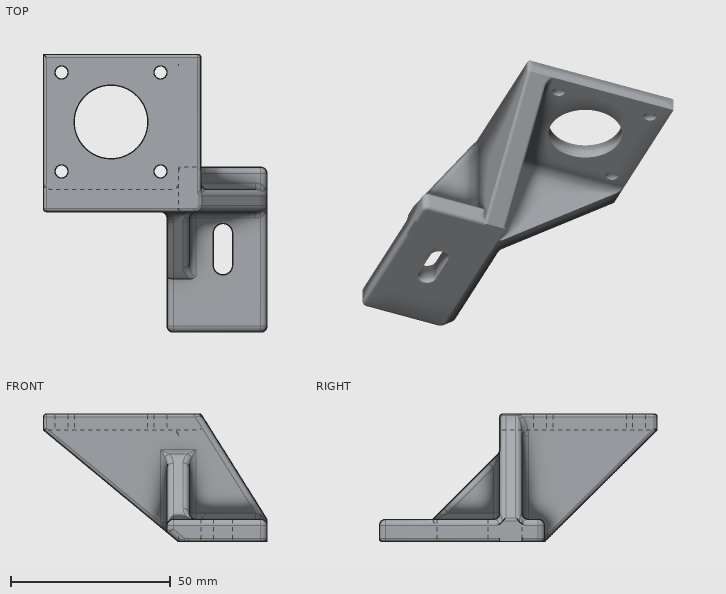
import cadquery as cq

motor_width = 42.3
wall = 7.0
plate_width = motor_width + wall
plate_thickness = 5.0
pilot_diameter = 23.0
screw_diameter = 4.0
screw_pitch = 31.0

length = 70.0
depth = 87.0
height = 40.0

wall_front = depth - plate_width
wall_back = wall_front + wall
plate_underside = height - plate_thickness
motor_x = motor_width / 2
motor_y = depth - motor_width / 2

foot_left = 38.7
foot_thickness = 7.0
foot_back = wall_back + wall
slot_x = 56.2
slot_y = 26.0
slot_length = 16.0
slot_width = 6.0

rib_width = 7.0
rib_right = foot_left + rib_width
rib_rise = 21.0
rib_toe = wall_front - rib_rise
rib_top = foot_thickness + rib_rise

foot_left_bottom = plate_underside * (1 - foot_left / motor_width)

small_radius = 1.0
large_radius = 2.0

overshoot = 1.0


def box(x_range, y_range, z_range):
    """Block between the given limits on each axis."""
    sizes = [limits[1] - limits[0] for limits in (x_range, y_range, z_range)]
    corner = (x_range[0], y_range[0], z_range[0])
    return cq.Workplane("XY").box(*sizes, centered=False).translate(corner)


def front_profile(points, y_front, y_back):
    """Outline in X and Z, extruded from y_front to y_back."""
    outline = cq.Workplane("XZ", origin=(0, y_front, 0)).polyline(points).close()
    return outline.extrude(y_front - y_back)


def side_profile(points, x_left, x_right):
    """Outline in Y and Z, extruded from x_left to x_right."""
    outline = cq.Workplane("YZ", origin=(x_left, 0, 0)).polyline(points).close()
    return outline.extrude(x_right - x_left)


def fillet_edges(body, edge_ends, radius):
    """Round the edges that lie closest to the listed pairs of end points."""
    edges = body.edges().vals()
    chosen = []
    for start, end in edge_ends:
        middle = (cq.Vector(*start) + cq.Vector(*end)) * 0.5
        chosen.append(min(edges, key=lambda edge: (edge.Center() - middle).Length))
    return body.newObject(chosen).fillet(radius)


def under_slope():
    """Wedge of empty space below the sloping underside."""
    return front_profile(
        [(0, 0), (motor_width, 0), (0, plate_underside)],
        -overshoot,
        depth + overshoot,
    )


def make_plate_and_side_wall():
    """Plate with the triangular side wall and a strip of front wall below it."""
    front = wall_front + large_radius
    plate = box((0, plate_width), (front, depth), (plate_underside, height))
    front_strip = box((0, plate_width), (front, wall_back), (0, height))
    side_wall = box((motor_width, plate_width), (front, depth), (0, height))
    body = plate.union(front_strip).union(side_wall).clean()

    inner_corner = (motor_width, wall_back, plate_underside)
    inside_edges = [
        (inner_corner, (motor_width, wall_back, 0)),
        (inner_corner, (0, wall_back, plate_underside)),
        (inner_corner, (motor_width, depth, plate_underside)),
    ]
    body = fillet_edges(body, inside_edges, large_radius)

    behind_side_wall = side_profile(
        [(depth, plate_underside), (foot_back, 0), (depth, 0)],
        -overshoot,
        length,
    )
    body = body.cut(behind_side_wall).cut(under_slope())

    inner_slope_edge = ((motor_width, depth, plate_underside), (motor_width, foot_back, 0))
    body = fillet_edges(body, [inner_slope_edge], small_radius)
    outer_edges = [
        ((0, front, height), (0, depth, height)),
        ((0, depth, height), (plate_width, depth, height)),
        ((plate_width, front, height), (plate_width, depth, height)),
        ((plate_width, depth, plate_underside), (plate_width, depth, height)),
        ((plate_width, depth, plate_underside), (plate_width, foot_back, 0)),
    ]
    return fillet_edges(body, outer_edges, small_radius)


def make_front_wall():
    """Wall that carries the plate, sloping down to the right end of the foot."""
    body = front_profile(
        [
            (0, height),
            (plate_width, height),
            (length, foot_thickness),
            (length, 0),
            (motor_width, 0),
            (0, plate_underside),
        ],
        wall_front,
        wall_back,
    )
    right_edges = [
        ((plate_width, wall_front, height), (length, wall_front, foot_thickness)),
        ((plate_width, wall_back, height), (length, wall_back, foot_thickness)),
        ((length, wall_front, foot_thickness), (length, wall_back, foot_thickness)),
    ]
    body = fillet_edges(body, right_edges, large_radius)
    left_edges = [
        ((0, wall_front, height), (plate_width, wall_front, height)),
        ((plate_width, wall_front, height), (plate_width, wall_back, height)),
        ((0, wall_front, height), (0, wall_back, height)),
        ((0, wall_front, plate_underside), (0, wall_front, height)),
        ((0, wall_front, plate_underside), (motor_width, wall_front, 0)),
    ]
    return fillet_edges(body, left_edges, small_radius)


def make_foot():
    """Foot with its gusset, rounded along the outer edges."""
    front_slab = box((foot_left, length), (0, wall_back), (0, foot_thickness))
    rear_slab = box((motor_width, length), (wall_front, foot_back), (0, foot_thickness))
    rib = side_profile(
        [
            (rib_toe, foot_thickness),
            (wall_front, rib_top),
            (wall_back, rib_top),
            (wall_back, 0),
            (rib_toe, 0),
        ],
        foot_left,
        rib_right,
    )
    body = front_slab.union(rear_slab).union(rib).cut(under_slope()).clean()

    top = foot_thickness
    upper_edges = [
        ((length, 0, top), (length, foot_back, top)),
        ((plate_width, foot_back, top), (length, foot_back, top)),
        ((length, foot_back, 0), (length, foot_back, top)),
        ((length, 0, 0), (length, 0, top)),
        ((foot_left, 0, top), (length, 0, top)),
        ((foot_left, 0, foot_left_bottom), (foot_left, 0, top)),
        ((foot_left, 0, foot_left_bottom), (motor_width, 0, 0)),
        ((foot_left, 0, top), (foot_left, rib_toe, top)),
    ]
    body = fillet_edges(body, upper_edges, large_radius)
    lower_edges = [
        ((foot_left, 0, foot_left_bottom), (foot_left, wall_back, foot_left_bottom)),
        ((motor_width, 0, 0), (length, 0, 0)),
        ((length, 0, 0), (length, foot_back, 0)),
    ]
    return fillet_edges(body, lower_edges, small_radius)


def blend_joints(body):
    """Round the inside edges where the foot, gusset and walls meet."""
    top = foot_thickness
    rib_corner = (rib_right, wall_front, top)
    front_edges = [
        (rib_corner, (rib_right, rib_toe, top)),
        (rib_corner, (length, wall_front, top)),
        (rib_corner, (rib_right, wall_front, rib_top)),
        ((foot_left, wall_front, rib_top), (rib_right, wall_front, rib_top)),
        ((foot_left, wall_front, foot_left_bottom), (foot_left, wall_front, rib_top)),
    ]
    body = fillet_edges(body, front_edges, large_radius)
    rear_edges = [
        ((plate_width, wall_back, top), (length, wall_back, top)),
        ((plate_width, wall_back, top), (plate_width, wall_back, height)),
    ]
    return fillet_edges(body, rear_edges, large_radius)


def round_gusset(body):
    """Round the two long sloping edges of the gusset."""
    top = foot_thickness
    edges = [
        ((foot_left, rib_toe, top), (foot_left, wall_front, rib_top)),
        ((rib_right, rib_toe, top), (rib_right, wall_front, rib_top)),
    ]
    return fillet_edges(body, edges, large_radius)


def cut_motor_holes(body):
    """Pilot hole and four screw holes through the plate."""
    plate_top = cq.Workplane("XY", origin=(motor_x, motor_y, height))
    pilot = plate_top.circle(pilot_diameter / 2).extrude(-plate_thickness)
    screws = plate_top.rect(screw_pitch, screw_pitch, forConstruction=True).vertices()
    screws = screws.circle(screw_diameter / 2).extrude(-plate_thickness - large_radius)
    return body.cut(pilot).cut(screws)


def cut_foot_slot(body):
    """Slot through the foot, running along Y."""
    slot = cq.Workplane("XY", origin=(slot_x, slot_y, 0)).slot2D(slot_length, slot_width, 90)
    return body.cut(slot.extrude(foot_thickness))


bracket = make_plate_and_side_wall().union(make_front_wall()).union(make_foot()).clean()
bracket = blend_joints(bracket)
bracket = round_gusset(bracket)
bracket = cut_motor_holes(bracket)
result = cut_foot_slot(bracket)